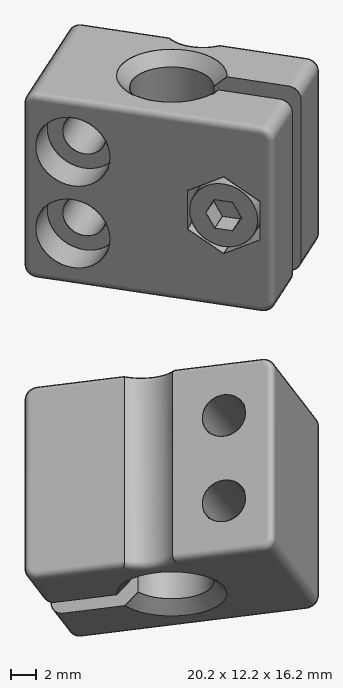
import cadquery as cq
import math

LENGTH, DEPTH, HEIGHT = 20.2, 12.2, 16.2
CORNER_RADIUS = 1.0
RIM_RADIUS = 0.5

BORE_DIAMETER = 6.5
BORE_CHAMFER = 1.0
SLOT_WIDTH = 2.2

GROOVE_RADIUS = 2.75
GROOVE_DEPTH = 0.8

HOLE_X = 4.0 - LENGTH / 2
HOLE_SPACING = 7.2
HOLE_DIAMETER = 3.5
COUNTERBORE_DIAMETER = 6.0
COUNTERBORE_DEPTH = 3.0

SCREW_X = 16.2 - LENGTH / 2
SHANK_DIAMETER = 3.0
HEAD_DIAMETER = 5.5
RECESS_FLATS = 5.85
RECESS_TURN = 30.0
RECESS_DEPTH = 3.0
SOCKET_FLATS = 2.5
SOCKET_DEPTH = 2.0

FRONT_Y = -DEPTH / 2
BACK_Y = DEPTH / 2
TOP_Z = HEIGHT / 2


def cylinder_y(x, z, diameter, start_y, length):
    """Cylinder that runs from start_y towards the back."""
    return cq.Workplane(cq.Solid.makeCylinder(
        diameter / 2, length, cq.Vector(x, start_y, z), cq.Vector(0, 1, 0)))


def hexagon_y(x, flats, start_y, length, turn):
    """Hexagonal prism at mid height, turned by an angle in degrees."""
    corner_diameter = flats / math.cos(math.pi / 6)
    return (
        cq.Workplane("XZ", origin=(x, start_y, 0))
        .transformed(rotate=(0, 0, turn))
        .polygon(6, corner_diameter)
        .extrude(-length)
    )


def block():
    """Rounded block whose end rims follow the groove in the back."""
    body = cq.Workplane("XY").box(LENGTH, DEPTH, HEIGHT)
    body = body.edges("|Y").fillet(CORNER_RADIUS)
    body = body.faces("<Y").edges().fillet(RIM_RADIUS)
    groove = (
        cq.Workplane("XY")
        .center(0, BACK_Y - GROOVE_DEPTH + GROOVE_RADIUS)
        .circle(GROOVE_RADIUS)
        .extrude(HEIGHT, both=True)
    )
    body = body.cut(groove)
    rims = body.faces(">Y").edges("not |Z")
    sides = body.faces(">Y").edges("|Z and (>X or <X)")
    arcs = body.faces(">Z or <Z").edges("%CIRCLE")
    return body.newObject(rims.vals() + sides.vals() + arcs.vals()).fillet(RIM_RADIUS)


def clamp_bore():
    """Bore chamfered at both ends, with the clamping slot."""
    radius = BORE_DIAMETER / 2
    bore = cq.Workplane("XY").circle(radius).extrude(TOP_Z, both=True)
    for end in (-1, 1):
        cone = cq.Solid.makeCone(
            radius + BORE_CHAMFER, radius, BORE_CHAMFER,
            cq.Vector(0, 0, end * TOP_Z), cq.Vector(0, 0, -end))
        bore = bore.union(cq.Workplane(cone))
    slot = cq.Workplane("XY").box(
        LENGTH / 2, SLOT_WIDTH, HEIGHT, centered=(False, True, True))
    return bore.union(slot)


def mounting_hole(z):
    hole = cylinder_y(HOLE_X, z, HOLE_DIAMETER, FRONT_Y, DEPTH)
    counterbore = cylinder_y(HOLE_X, z, COUNTERBORE_DIAMETER, FRONT_Y, COUNTERBORE_DEPTH)
    return hole.union(counterbore)


def clamp_screw():
    """Socket-head screw, with its shank crossing the slot."""
    head = cylinder_y(SCREW_X, 0, HEAD_DIAMETER, FRONT_Y, RECESS_DEPTH)
    shank = cylinder_y(SCREW_X, 0, SHANK_DIAMETER, FRONT_Y, DEPTH)
    socket = hexagon_y(SCREW_X, SOCKET_FLATS, FRONT_Y, SOCKET_DEPTH, 0)
    return head.union(shank).cut(socket)


result = block().cut(clamp_bore())
for hole_z in (-HOLE_SPACING / 2, HOLE_SPACING / 2):
    result = result.cut(mounting_hole(hole_z))
result = result.cut(hexagon_y(SCREW_X, RECESS_FLATS, FRONT_Y, RECESS_DEPTH, RECESS_TURN))
result = result.union(clamp_screw())